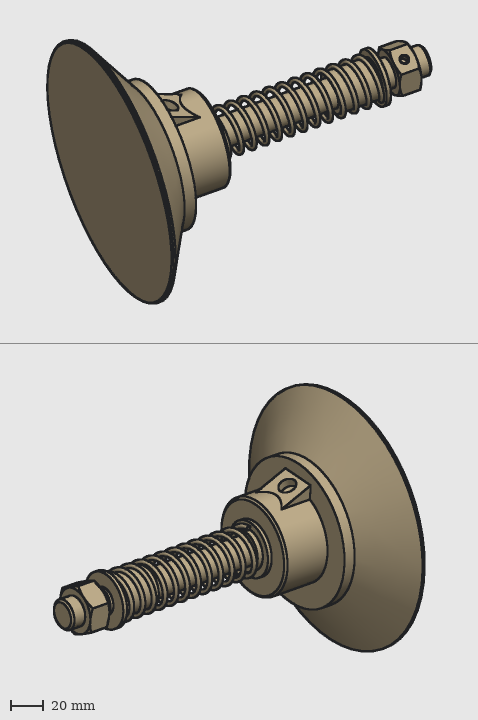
import cadquery as cq
import math

TURN_ANGLE = 5.0

PAD_DIAMETER = 171.0
RIM_HEIGHT = 2.5
RIM_CHAMFER = 1.0
FLANGE_DIAMETER = 98.5
FLANGE_BOTTOM = 27.0
FLANGE_THICKNESS = 8.0
FLANGE_TOP = FLANGE_BOTTOM + FLANGE_THICKNESS

HUB_DIAMETER = 65.0
HUB_HEIGHT = 33.0
HUB_CHAMFER = 1.5
HUB_TOP = FLANGE_TOP + HUB_HEIGHT

WASHER_DIAMETER = 37.5
WASHER_THICKNESS = 3.0
LOWER_WASHER_TOP = HUB_TOP + WASHER_THICKNESS
UPPER_WASHER_BOTTOM = 182.0
BUSHING_DIAMETER = 27.5
LOWER_BUSHING_HEIGHT = 4.0
UPPER_BUSHING_HEIGHT = 29.0

ROD_TOP = 218.0
ROD_DIAMETER = 20.0
UNDERCUT_DIAMETER = 18.0
THREAD_LENGTH = 30.0
ROD_CHAMFER = 1.5

NUT_ACROSS_FLATS = 30.0
NUT_HEIGHT = 15.0
NUT_TOP = ROD_TOP - 10.0
NUT_BOTTOM = NUT_TOP - NUT_HEIGHT
NUT_CHAMFER_ANGLE = 30.0
HALF_HEX_STEP = 30.0
NUT_HOLE_DIAMETER = 4.92
NUT_COUNTERSINK_DIAMETER = 6.0
NUT_HOLE_DEPTH = (NUT_ACROSS_FLATS - ROD_DIAMETER) / 2

PORT_WIDTH = 25.0
PORT_REACH = 40.0
PORT_HEIGHT = 22.5
PORT_HOLE_DIAMETER = 11.45
PORT_HOLE_RISE = 8.2
PORT_HOLE_DEPTH = 6.4
DRILL_POINT_ANGLE = 118.0

SPRING_OUTER_DIAMETER = 33.75
WIRE_DIAMETER = 3.0
SPRING_TURNS = 12 + 1 / 3
SPRING_START_ANGLE = 90.0
SPRING_BITE = 0.2


def cylinder(diameter, bottom, height):
    """Cylinder on the Y axis that starts at Y = bottom."""
    return cq.Workplane(cq.Solid.makeCylinder(
        diameter / 2, height, cq.Vector(0, bottom, 0), cq.Vector(0, 1, 0)))


def turned(profile):
    """Solid of revolution about Y from (radius, height) points."""
    return cq.Workplane("XY").polyline(profile).close().revolve(360, (0, 0, 0), (0, 1, 0))


def turn(shape, angle):
    """Turn a shape about the Y axis, from +Z toward -X for a positive angle."""
    return shape.rotate((0, 0, 0), (0, 1, 0), -angle)


def make_base():
    """Pad, flange and hub."""
    pad_radius = PAD_DIAMETER / 2
    flange_radius = FLANGE_DIAMETER / 2
    hub_radius = HUB_DIAMETER / 2
    return turned([
        (0, 0),
        (pad_radius - RIM_CHAMFER, 0),
        (pad_radius, RIM_CHAMFER),
        (pad_radius, RIM_HEIGHT),
        (flange_radius, FLANGE_BOTTOM),
        (flange_radius, FLANGE_TOP),
        (hub_radius, FLANGE_TOP),
        (hub_radius, HUB_TOP - HUB_CHAMFER),
        (hub_radius - HUB_CHAMFER, HUB_TOP),
        (0, HUB_TOP),
    ])


def make_rod():
    """Rod from the hub up to the chamfered tip."""
    rod_radius = ROD_DIAMETER / 2
    undercut_radius = UNDERCUT_DIAMETER / 2
    thread_bottom = ROD_TOP - THREAD_LENGTH
    return turned([
        (0, HUB_TOP),
        (rod_radius, HUB_TOP),
        (rod_radius, UPPER_WASHER_BOTTOM),
        (undercut_radius, UPPER_WASHER_BOTTOM),
        (undercut_radius, thread_bottom),
        (rod_radius, thread_bottom),
        (rod_radius, ROD_TOP - ROD_CHAMFER),
        (rod_radius - ROD_CHAMFER, ROD_TOP),
        (0, ROD_TOP),
    ])


def make_nut():
    """Hex nut with chamfered corners, and the small countersunk hole to cut down to the rod."""
    flat_radius = NUT_ACROSS_FLATS / 2
    corner_radius = flat_radius / math.cos(math.radians(HALF_HEX_STEP))
    chamfer_height = (corner_radius - flat_radius) * math.tan(math.radians(NUT_CHAMFER_ANGLE))
    blank = turned([
        (0, NUT_BOTTOM),
        (flat_radius, NUT_BOTTOM),
        (corner_radius, NUT_BOTTOM + chamfer_height),
        (corner_radius, NUT_TOP - chamfer_height),
        (flat_radius, NUT_TOP),
        (0, NUT_TOP),
    ])
    hexagon = (
        cq.Workplane("ZX", origin=(0, NUT_BOTTOM, 0))
        .polygon(6, 2 * corner_radius)
        .extrude(NUT_HEIGHT)
    )
    hole_radius = NUT_HOLE_DIAMETER / 2
    countersink_radius = NUT_COUNTERSINK_DIAMETER / 2
    countersink_depth = countersink_radius - hole_radius
    hole = (
        cq.Workplane("XZ", origin=(0, (NUT_BOTTOM + NUT_TOP) / 2, 0))
        .polyline([
            (0, flat_radius),
            (countersink_radius, flat_radius),
            (hole_radius, flat_radius - countersink_depth),
            (hole_radius, flat_radius - NUT_HOLE_DEPTH),
            (0, flat_radius - NUT_HOLE_DEPTH),
        ])
        .close()
        .revolve(360, (0, 0, 0), (0, 1, 0))
    )
    return blank.intersect(hexagon), turn(hole, -HALF_HEX_STEP)


def make_port():
    """Wedge beside the hub, and the drilled hole to cut from it."""
    slope_top_reach = math.sqrt((HUB_DIAMETER / 2) ** 2 - (PORT_WIDTH / 2) ** 2)
    slope_run = PORT_REACH - slope_top_reach
    wedge = (
        cq.Workplane("YZ")
        .polyline([
            (FLANGE_TOP, 0),
            (FLANGE_TOP, PORT_REACH),
            (FLANGE_TOP + PORT_HEIGHT, slope_top_reach),
            (FLANGE_TOP + PORT_HEIGHT, 0),
        ])
        .close()
        .extrude(PORT_WIDTH / 2, both=True)
    )
    hole_radius = PORT_HOLE_DIAMETER / 2
    point_height = hole_radius / math.tan(math.radians(DRILL_POINT_ANGLE / 2))
    hole_reach = PORT_REACH - slope_run * PORT_HOLE_RISE / PORT_HEIGHT
    hole_plane = cq.Plane(
        origin=(0, FLANGE_TOP + PORT_HOLE_RISE, hole_reach),
        xDir=(1, 0, 0),
        normal=(0, slope_run, PORT_HEIGHT),
    )
    hole = (
        cq.Workplane(hole_plane)
        .transformed(rotate=(90, 0, 0))
        .polyline([
            (0, hole_radius),
            (hole_radius, hole_radius),
            (hole_radius, -PORT_HOLE_DEPTH),
            (0, -PORT_HOLE_DEPTH - point_height),
        ])
        .close()
        .revolve(360, (0, 0, 0), (0, 1, 0))
    )
    return wedge, hole


def make_spring():
    """Round wire swept along a helix between the two washers."""
    wire_radius = WIRE_DIAMETER / 2
    coil_radius = SPRING_OUTER_DIAMETER / 2 - wire_radius
    start = LOWER_WASHER_TOP + wire_radius - SPRING_BITE
    end = UPPER_WASHER_BOTTOM - wire_radius + SPRING_BITE
    height = end - start
    helix = cq.Wire.makeHelix(height / SPRING_TURNS, height, coil_radius)
    coil = (
        cq.Workplane("XZ")
        .center(coil_radius, 0)
        .circle(wire_radius)
        .sweep(cq.Workplane(helix), isFrenet=True)
    )
    upright = coil.rotate((0, 0, 0), (1, 0, 0), -90).translate((0, start, 0))
    return turn(upright, SPRING_START_ANGLE)


nut, nut_hole = make_nut()
port, port_hole = make_port()

foot = (
    make_base()
    .union(port)
    .cut(port_hole)
    .union(make_rod())
    .union(nut)
    .cut(nut_hole)
    .union(cylinder(WASHER_DIAMETER, HUB_TOP, WASHER_THICKNESS))
    .union(cylinder(BUSHING_DIAMETER, LOWER_WASHER_TOP, LOWER_BUSHING_HEIGHT))
    .union(cylinder(WASHER_DIAMETER, UPPER_WASHER_BOTTOM, WASHER_THICKNESS))
    .union(cylinder(BUSHING_DIAMETER, UPPER_WASHER_BOTTOM - UPPER_BUSHING_HEIGHT, UPPER_BUSHING_HEIGHT))
    .union(make_spring())
)

result = turn(foot, TURN_ANGLE)